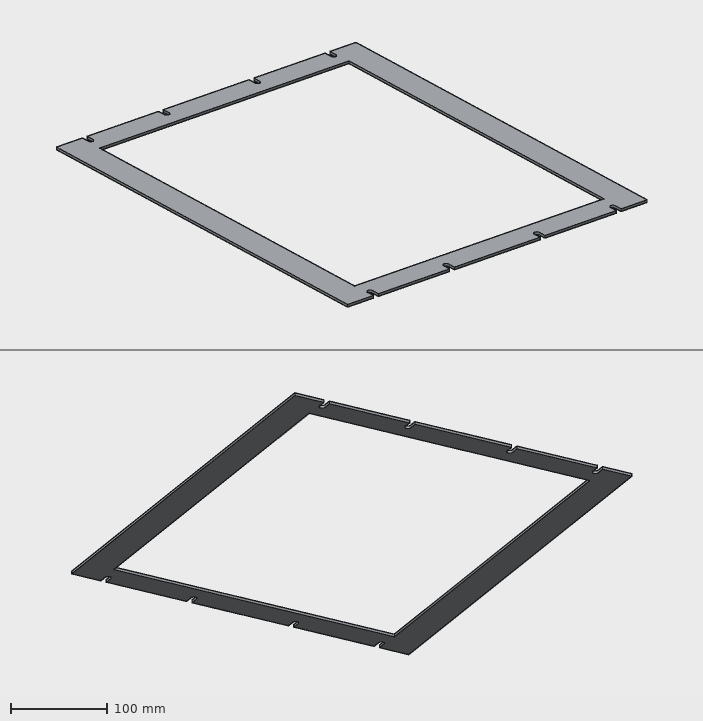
import cadquery as cq

length = 482.5
width = 399.0
thickness = 3.2

window_length = 422.5
window_width = 332.0

slot_width = 6.5
slot_depth = 13.0
inner_slot_y = 60.5
slot_spacing = 101.5
outer_slot_y = inner_slot_y + slot_spacing


def make_frame():
    """Plate with a centred rectangular window."""
    plate = cq.Workplane("XY").box(length, width, thickness)
    window = cq.Workplane("XY").box(window_length, window_width, thickness)
    return plate.cut(window)


def make_slots():
    """Obround cutters centred on the short sides, so half of each lies inside the plate."""
    centers = [
        (side * length / 2, end * y)
        for side in (-1, 1)
        for end in (-1, 1)
        for y in (inner_slot_y, outer_slot_y)
    ]
    return (
        cq.Workplane("XY")
        .workplane(offset=-thickness / 2)
        .pushPoints(centers)
        .slot2D(2 * slot_depth, slot_width)
        .extrude(thickness)
    )


result = make_frame().cut(make_slots())